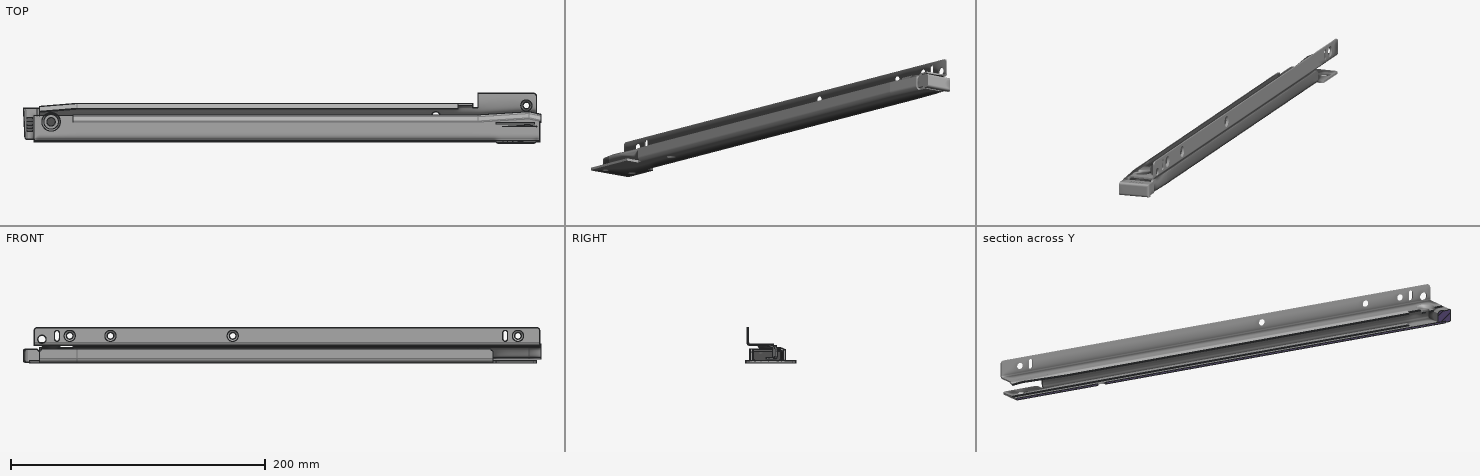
import cadquery as cq
import math

TOTAL_LENGTH = 406.63
TOTAL_WIDTH = 39.5
TOTAL_HEIGHT = 27.83
SHEET = 1.2
CHANNEL_SHEET = 1.8

FLANGE_FACE = 1.2
FLANGE_START = 8.4
FLANGE_END = 405.6
FLANGE_CORNER = 2.5
WEB_TOP = 14.8
HOOK_FACE = 22.4
HOOK_BOTTOM = 3.0
HOOK_LIP_EDGE = 16.0
HOOK_ROOT = 12.0
HOOK_START = 39.0
HOOK_FLARE_START = 357.0
HOOK_FLARE_END = 397.0
HOOK_FLARE = 2.5
HOOK_RETURN = 0.5
FLANGE_BEND = 1.2
HOOK_BEND = 1.1
WEB_END = 17.2
SLOPE_DROP = 2.2
LIP_BEND = 1.0
NOSE_EDGE = 21.8

SCREW_DROP = 6.5
SCREW_LINE = TOTAL_HEIGHT - SCREW_DROP
FIRST_SCREW = 36.4
SCREW_STEPS = (0.0, 32.0, 128.0, 352.0)
SCREW_HOLE = 5.0
SCREW_HEAD = 8.8
SLOT_BEFORE_SCREW = 10.0
SLOT_LENGTH = 8.4
SLOT_WIDTH = 3.6
FRONT_HOLE = 6.3
FRONT_HOLE_X = 14.6
FRONT_HOLE_Z = 18.6

DIMPLE_X = 21.8
DIMPLE_Y = 17.0
DIMPLE_RIM = 14.6
DIMPLE_FLOOR = 11.5
DIMPLE_DEPTH = 2.4
DIMPLE_HOLE = 6.6

BEAD_START = 371.0
BEAD_END = 401.5
BEAD_Y = 15.8
BEAD_WIDTH = 1.2
BEAD_DEPTH = 0.5

NEAR_FACE = 3.7
FAR_FACE = 31.5
NEAR_WALL_TOP = 11.2
LIP_EDGE = 27.6
LIP_EDGE_Z = 12.0
LIP_FOLD_Z = 10.4
CHANNEL_BEND = 1.6
SHARP_FOLD = 0.0
CHANNEL_START = 12.6
TAPER_END = 42.0
FAR_TAPER = -2.4
NEAR_TAPER = 0.8
BASE_START = 5.0
LIP_END = 341.5
FAR_WALL_END = 353.0
NEAR_WALL_END = 369.0
NEAR_WALL_CHAMFER = 2.5
NEAR_FRONT_CHAMFER = 2.0
BASE_HOLE = 7.0
BASE_HOLE_X = 324.0
BASE_HOLE_Y = 21.3

TAB_START = 357.0
TAB_END = 403.0
TAB_CORNER = 2.5
TAB_HOLE_X = 395.0
TAB_HOLE_Y = 29.8
TAB_HOLE = 5.0
TAB_HEAD = 8.8
NEAR_TAB_START = 371.0
NEAR_HOLE_X = 390.0
NEAR_HOLE_Y = 7.0
NEAR_HOLE = 6.0
NEAR_HEAD = 11.0

CAP_NEAR = 3.2
CAP_FAR = 27.8
CAP_BOTTOM = 0.5
CAP_TOP = 11.0
CAP_FRONT_SLANT = 1.2
CAP_BACK_CHAMFER = 2.0
CAP_ROUND = 1.8
GRIP_GROOVES = 5
GRIP_PITCH = 2.45
GRIP_FIRST_Y = 9.9
GRIP_WIDTH = 1.1
GRIP_DEPTH = 0.6
GRIP_START = 3.0
GRIP_END = 7.0


def box(x0, x1, y0, y1, z0, z1):
    return cq.Workplane("XY").box(x1 - x0, y1 - y0, z1 - z0, centered=False).translate((x0, y0, z0))


def rounded_outline(corners):
    """Closed YZ wire at X = 0 through (y, z, radius) corners, with tangent arcs."""
    edges = []
    previous_end = None
    first_start = None
    for i, (y, z, radius) in enumerate(corners):
        corner = cq.Vector(0, y, z)
        before = cq.Vector(0, *corners[i - 1][:2]) - corner
        after = cq.Vector(0, *corners[(i + 1) % len(corners)][:2]) - corner
        start = end = corner
        if radius > 0:
            half_angle = before.getAngle(after) / 2
            toward_before = before.normalized()
            toward_after = after.normalized()
            setback = radius / math.tan(half_angle)
            start = corner + toward_before * setback
            end = corner + toward_after * setback
            bisector = (toward_before + toward_after).normalized()
            middle = corner + bisector * (radius / math.sin(half_angle) - radius)
        if previous_end is None:
            first_start = start
        else:
            edges.append(cq.Edge.makeLine(previous_end, start))
        if radius > 0:
            edges.append(cq.Edge.makeThreePointArc(start, middle, end))
        previous_end = end
    edges.append(cq.Edge.makeLine(previous_end, first_start))
    return cq.Wire.assembleEdges(edges)


def sheet_section(path, bends, thickness):
    """Outline of bent sheet lying to the left of an open (y, z) path; bends are inner radii, 0 is sharp."""
    points = [cq.Vector(0, y, z) for y, z in path]
    normals = []
    for a, b in zip(points, points[1:]):
        run = (b - a).normalized()
        normals.append(cq.Vector(0, -run.z, run.y))
    right = [(*path[0], 0)]
    left_tip = points[0] + normals[0] * thickness
    left = [(left_tip.y, left_tip.z, 0)]
    for i, bend in enumerate(bends):
        n0, n1 = normals[i], normals[i + 1]
        offset = (n0 + n1) * (thickness / (1 + n0.dot(n1)))
        inside = points[i + 1] + offset
        turns_left = n0.y * n1.z - n0.z * n1.y > 0
        outer = bend + thickness if bend > 0 else 0
        right_radius, left_radius = (outer, bend) if turns_left else (bend, outer)
        right.append((*path[i + 1], right_radius))
        left.append((inside.y, inside.z, left_radius))
    right.append((*path[-1], 0))
    left_tip = points[-1] + normals[-1] * thickness
    left.append((left_tip.y, left_tip.z, 0))
    return rounded_outline(right + left[::-1])


def run_section(section, x0, x1, shift0=0.0, shift1=0.0):
    """Sweep a YZ section from x0 to x1 while it drifts in Y from shift0 to shift1."""
    placed = section.translate(cq.Vector(x0, shift0, 0))
    return cq.Workplane(cq.Solid.extrudeLinear(placed, [], cq.Vector(x1 - x0, shift1 - shift0, 0)))


def countersink(hole, head, depth):
    """Conical cutter whose wide end lies at Z = 0 and points to -Z."""
    return cq.Workplane(cq.Solid.makeCone(head / 2, hole / 2, depth, dir=cq.Vector(0, 0, -1)))


def make_flange_and_web():
    web_bottom = WEB_TOP - SHEET
    section = sheet_section(
        [(FLANGE_FACE, TOTAL_HEIGHT), (FLANGE_FACE, web_bottom), (HOOK_ROOT + SHEET, web_bottom)],
        [FLANGE_BEND],
        SHEET,
    )
    body = run_section(section, FLANGE_START, FLANGE_END)
    body = body.faces(">Z").edges("|Y").fillet(FLANGE_CORNER)
    nose = box(FLANGE_START, HOOK_START, HOOK_ROOT, NOSE_EDGE, web_bottom, WEB_TOP)
    return body.union(nose)


def make_hook():
    """Inner wall of the upper rail, flared at the rear."""
    web_bottom = WEB_TOP - SHEET
    section = sheet_section(
        [
            (HOOK_LIP_EDGE, HOOK_BOTTOM),
            (HOOK_FACE, HOOK_BOTTOM),
            (HOOK_FACE, WEB_TOP - SLOPE_DROP),
            (WEB_END, WEB_TOP),
            (HOOK_ROOT, WEB_TOP),
        ],
        [LIP_BEND, HOOK_BEND, HOOK_BEND],
        SHEET,
    )
    straight = run_section(section, HOOK_START, HOOK_FLARE_START)
    flare = run_section(section, HOOK_FLARE_START, HOOK_FLARE_END, 0, HOOK_FLARE)
    end = run_section(section, HOOK_FLARE_END, TOTAL_LENGTH, HOOK_FLARE, HOOK_RETURN)
    web_beyond_flange = box(FLANGE_END, TOTAL_LENGTH, 0, WEB_END, web_bottom, WEB_TOP)
    return straight.union(flare).union(end).cut(web_beyond_flange)


def add_dimple(rail):
    web_bottom = WEB_TOP - SHEET
    top_center = cq.Vector(DIMPLE_X, DIMPLE_Y, WEB_TOP)
    cone = countersink(DIMPLE_FLOOR, DIMPLE_RIM, DIMPLE_DEPTH)
    drop = cq.Vector(DIMPLE_X, DIMPLE_Y, web_bottom)
    hole = cq.Workplane("XY").circle(DIMPLE_HOLE / 2).extrude(-2 * DIMPLE_DEPTH)
    rail = rail.union(cone.translate(drop))
    return rail.cut(cone.translate(top_center)).cut(hole.translate(top_center))


def cut_flange_holes(rail):
    head = countersink(SCREW_HOLE, SCREW_HEAD, SHEET).rotate((0, 0, 0), (1, 0, 0), -90)
    head = head.rotate((0, 0, 0), (0, 0, 1), 180)
    slot = cq.Workplane("XZ").slot2D(SLOT_LENGTH, SLOT_WIDTH, 90).extrude(-SHEET)
    screw_xs = [FIRST_SCREW + step for step in SCREW_STEPS]
    for x in screw_xs:
        rail = rail.cut(head.translate((x, FLANGE_FACE, SCREW_LINE)))
    for x in (screw_xs[0], screw_xs[-1]):
        rail = rail.cut(slot.translate((x - SLOT_BEFORE_SCREW, FLANGE_FACE, SCREW_LINE)))
    front_hole = cq.Workplane("XZ").circle(FRONT_HOLE / 2).extrude(-SHEET)
    return rail.cut(front_hole.translate((FRONT_HOLE_X, FLANGE_FACE, FRONT_HOLE_Z)))


def make_upper_rail():
    rail = make_flange_and_web().union(make_hook())
    rail = cut_flange_holes(add_dimple(rail))
    bead = box(
        BEAD_START, BEAD_END,
        BEAD_Y - BEAD_WIDTH / 2, BEAD_Y + BEAD_WIDTH / 2,
        WEB_TOP - BEAD_DEPTH, WEB_TOP,
    )
    return rail.cut(bead)


def make_lower_rail():
    middle = (NEAR_FACE + FAR_FACE) / 2
    far_path = [(middle, 0), (FAR_FACE, 0), (FAR_FACE, LIP_FOLD_Z), (LIP_EDGE, LIP_EDGE_Z)]
    with_lip = sheet_section(far_path, [CHANNEL_BEND, SHARP_FOLD], CHANNEL_SHEET)
    without_lip = sheet_section(far_path[:3], [CHANNEL_BEND], CHANNEL_SHEET)
    near_path = [(NEAR_FACE, NEAR_WALL_TOP), (NEAR_FACE, 0), (middle, 0)]
    near = sheet_section(near_path, [CHANNEL_BEND], CHANNEL_SHEET)

    near_wall = run_section(near, TAPER_END, NEAR_WALL_END)
    near_wall = near_wall.edges("|Y and >X and >Z").chamfer(NEAR_WALL_CHAMFER)
    near_front = run_section(near, CHANNEL_START, TAPER_END, NEAR_TAPER, 0)
    near_front = near_front.edges("<X and >Z").chamfer(NEAR_FRONT_CHAMFER)
    rail = (
        run_section(with_lip, CHANNEL_START, TAPER_END, FAR_TAPER, 0)
        .union(run_section(with_lip, TAPER_END, LIP_END))
        .union(run_section(without_lip, LIP_END, FAR_WALL_END))
        .union(near_front)
        .union(near_wall)
    )
    bend_reach = CHANNEL_BEND + CHANNEL_SHEET
    floor_near = NEAR_FACE + bend_reach
    floor_far = FAR_FACE - bend_reach
    front_floor = box(
        BASE_START, TAPER_END, floor_near + NEAR_TAPER, floor_far + FAR_TAPER, 0, CHANNEL_SHEET
    )
    rear_floor = box(TAPER_END, TAB_END, floor_near, floor_far, 0, CHANNEL_SHEET)
    rail = rail.union(front_floor).union(rear_floor)

    tab = box(TAB_START, TAB_END, middle, TOTAL_WIDTH, 0, CHANNEL_SHEET)
    tab = tab.edges("|Z and >X and >Y").fillet(TAB_CORNER)
    near_tab = box(NEAR_TAB_START, TAB_END, 0, middle, 0, CHANNEL_SHEET)
    near_tab = near_tab.edges("|Z and <Y").fillet(TAB_CORNER)
    rail = rail.union(tab).union(near_tab)

    tab_hole = countersink(TAB_HOLE, TAB_HEAD, CHANNEL_SHEET)
    near_hole = countersink(NEAR_HOLE, NEAR_HEAD, CHANNEL_SHEET)
    rail = rail.cut(tab_hole.translate((TAB_HOLE_X, TAB_HOLE_Y, CHANNEL_SHEET)))
    rail = rail.cut(near_hole.translate((NEAR_HOLE_X, NEAR_HOLE_Y, CHANNEL_SHEET)))
    base_hole = cq.Workplane("XY").circle(BASE_HOLE / 2).extrude(CHANNEL_SHEET)
    return rail.cut(base_hole.translate((BASE_HOLE_X, BASE_HOLE_Y, 0)))


def make_front_cap():
    cap_end = CHANNEL_START
    outline = [(0, CAP_FAR), (CAP_FRONT_SLANT, CAP_NEAR), (cap_end, CAP_NEAR), (cap_end, CAP_FAR)]
    cap = cq.Workplane("XY").workplane(offset=CAP_BOTTOM).polyline(outline).close()
    cap = cap.extrude(CAP_TOP - CAP_BOTTOM)
    cap = cap.faces("<X").edges("not (|Z and >Y)").fillet(CAP_ROUND)
    cap = cap.edges(">X and >Z").chamfer(CAP_BACK_CHAMFER)
    for i in range(GRIP_GROOVES):
        y = GRIP_FIRST_Y + i * GRIP_PITCH
        near_side = y - GRIP_WIDTH / 2
        groove = box(GRIP_START, GRIP_END, near_side, near_side + GRIP_WIDTH, CAP_TOP - GRIP_DEPTH, CAP_TOP)
        cap = cap.cut(groove)
    base_recess = box(BASE_START, cap_end, 0, TOTAL_WIDTH, 0, CHANNEL_SHEET)
    return cap.cut(base_recess)


upper_rail = make_upper_rail()
lower_rail = make_lower_rail()
front_cap = make_front_cap()

result = cq.Compound.makeCompound([upper_rail.val(), lower_rail.val(), front_cap.val()])